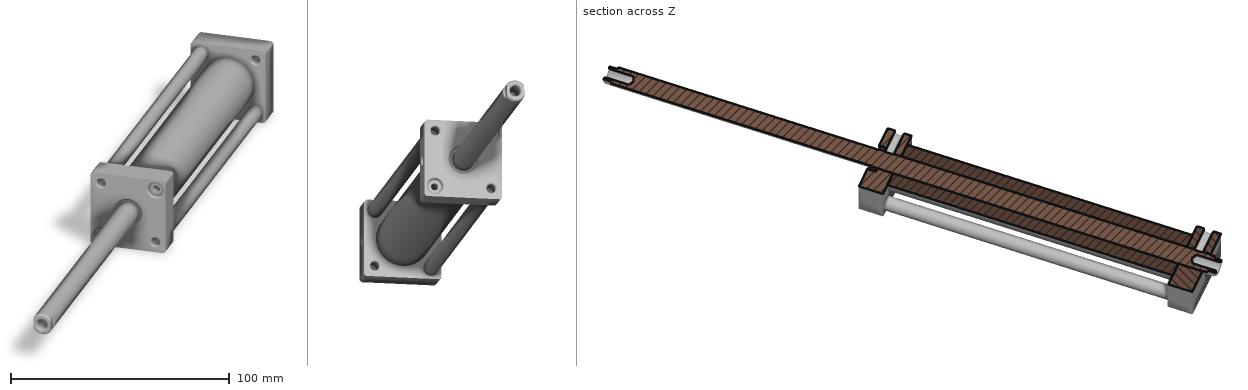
import cadquery as cq

PLATE_SIZE = 36.0
PLATE_THICKNESS = 12.0
BARREL_LENGTH = 140.0
ROD_REACH_FRONT = 131.0
ROD_REACH_REAR = 6.0
FRONT_PLATE_START = 0.0
BARREL_START = FRONT_PLATE_START + PLATE_THICKNESS
REAR_PLATE_START = BARREL_START + BARREL_LENGTH
ROD_START = FRONT_PLATE_START - ROD_REACH_FRONT
ROD_END = REAR_PLATE_START + PLATE_THICKNESS + ROD_REACH_REAR

BARREL_DIAMETER = 25.0
TIE_ROD_DIAMETER = 7.0
ROD_DIAMETER = 10.0

CORNER_OFFSET = 13.0
TIE_ROD_CORNERS = [(-CORNER_OFFSET, CORNER_OFFSET), (CORNER_OFFSET, -CORNER_OFFSET)]
SCREW_CORNERS = [(-CORNER_OFFSET, -CORNER_OFFSET), (CORNER_OFFSET, CORNER_OFFSET)]

PLATE_CORNER_CHAMFER = 1.0
TAP_DIAMETER = 4.13
TAP_MOUTH_DIAMETER = 5.0
TAP_DEPTH = 8.0
DRILL_POINT_HEIGHT = 1.2
COUNTERBORE_DIAMETER = 7.0
COUNTERBORE_MOUTH_DIAMETER = 8.0
COUNTERBORE_MOUTH_DEPTH = (COUNTERBORE_MOUTH_DIAMETER - COUNTERBORE_DIAMETER) / 2
COUNTERBORE_DEPTH = 2.0
SCREW_HOLE_DIAMETER = 3.24
PORT_DEPTH = PLATE_SIZE / 2

WIPER_DIAMETER = 14.0
WIPER_LENGTH = 4.0
WIPER_MOUTH_DIAMETER = 13.84
WIPER_THROAT_DIAMETER = 12.0
WIPER_MOUTH_DEPTH = (WIPER_MOUTH_DIAMETER - WIPER_THROAT_DIAMETER) / 2

ROD_CHAMFER_LENGTH = 1.0
ROD_CHAMFER_DEPTH = 0.6
FLAT_SPACING = 8.0
FLAT_LENGTH = 3.5
FLAT_RUN_OUT = 0.5
ROD_TAP_DIAMETER = 4.92
ROD_TAP_MOUTH_DIAMETER = 6.0
ROD_TAP_DEPTH = 12.0


def cylinder(diameter, start, length, x=0.0, z=0.0):
    """Cylinder along +Y from the given start."""
    axis = cq.Vector(0, 1, 0)
    return cq.Workplane(cq.Solid.makeCylinder(diameter / 2, length, cq.Vector(x, start, z), axis))


def cone(start_diameter, end_diameter, start, length, x=0.0, z=0.0):
    """Truncated cone along +Y from the given start."""
    position = cq.Vector(x, start, z)
    solid = cq.Solid.makeCone(start_diameter / 2, end_diameter / 2, length, position, cq.Vector(0, 1, 0))
    return cq.Workplane(solid)


def tapped_hole(mouth, direction, depth=TAP_DEPTH, diameter=TAP_DIAMETER, mouth_diameter=TAP_MOUTH_DIAMETER):
    """Cutter for a countersunk blind hole that ends in a drill point."""
    radius = diameter / 2
    mouth_radius = mouth_diameter / 2
    mouth_depth = mouth_radius - radius
    profile = (
        cq.Workplane("XY")
        .polyline([
            (0, 0),
            (mouth_radius, 0),
            (radius, mouth_depth),
            (radius, depth),
            (0, depth + DRILL_POINT_HEIGHT),
        ])
        .close()
        .revolve(360, (0, 0), (0, 1))
    )
    plane_normal = cq.Vector(0, 0, 1).cross(cq.Vector(*direction))
    plane = cq.Plane(origin=mouth, xDir=(0, 0, 1), normal=plane_normal)
    return profile.val().moved(cq.Location(plane))


def plate(start):
    """Square end plate with chamfered corners, the rod bore and the side port."""
    body = (
        cq.Workplane("XY")
        .box(PLATE_SIZE, PLATE_THICKNESS, PLATE_SIZE)
        .edges("|Y")
        .chamfer(PLATE_CORNER_CHAMFER)
        .translate((0, start + PLATE_THICKNESS / 2, 0))
    )
    body = body.cut(cylinder(ROD_DIAMETER, start, PLATE_THICKNESS))
    port_mouth = (-PLATE_SIZE / 2, start + PLATE_THICKNESS / 2, 0)
    return body.cut(tapped_hole(port_mouth, (1, 0, 0), PORT_DEPTH))


def make_front_plate():
    body = plate(FRONT_PLATE_START)
    body = body.cut(cylinder(WIPER_DIAMETER, FRONT_PLATE_START, WIPER_LENGTH))
    for x, z in TIE_ROD_CORNERS:
        body = body.cut(tapped_hole((x, FRONT_PLATE_START, z), (0, 1, 0)))
    for x, z in SCREW_CORNERS:
        body = body.cut(cylinder(SCREW_HOLE_DIAMETER, FRONT_PLATE_START, PLATE_THICKNESS, x, z))
        body = body.cut(cylinder(COUNTERBORE_DIAMETER, FRONT_PLATE_START, COUNTERBORE_DEPTH, x, z))
        mouth = cone(
            COUNTERBORE_MOUTH_DIAMETER, COUNTERBORE_DIAMETER, FRONT_PLATE_START, COUNTERBORE_MOUTH_DEPTH, x, z
        )
        body = body.cut(mouth)
    return body


def make_rear_plate():
    body = plate(REAR_PLATE_START)
    for x, z in SCREW_CORNERS:
        body = body.cut(tapped_hole((x, REAR_PLATE_START, z), (0, 1, 0)))
    return body


def make_barrel():
    bore = cylinder(ROD_DIAMETER, BARREL_START, BARREL_LENGTH)
    return cylinder(BARREL_DIAMETER, BARREL_START, BARREL_LENGTH).cut(bore)


def make_tie_rod(x, z):
    return cylinder(TIE_ROD_DIAMETER, BARREL_START, BARREL_LENGTH, x, z)


def make_wiper():
    """Ring around the rod with a conical recess in its outer face."""
    ring = cylinder(WIPER_DIAMETER, FRONT_PLATE_START, WIPER_LENGTH)
    mouth = cone(WIPER_MOUTH_DIAMETER, WIPER_THROAT_DIAMETER, FRONT_PLATE_START, WIPER_MOUTH_DEPTH)
    return ring.cut(mouth).cut(cylinder(ROD_DIAMETER, FRONT_PLATE_START, WIPER_LENGTH))


def flat_cutter(end, inward, side):
    """Cutter for one wrench flat: open at the rod end, with a sloping run-out at its inner end."""
    flat_x = side * FLAT_SPACING / 2
    outer_x = side * ROD_DIAMETER / 2
    flat_end = end + inward * FLAT_LENGTH
    return (
        cq.Workplane("XY")
        .polyline([
            (flat_x, end),
            (flat_x, flat_end),
            (outer_x, flat_end + inward * FLAT_RUN_OUT),
            (outer_x, end),
        ])
        .close()
        .extrude(ROD_DIAMETER / 2, both=True)
    )


def make_rod():
    """Rod through the whole cylinder, with two flats and a tapped hole at each end."""
    radius = ROD_DIAMETER / 2
    end_radius = radius - ROD_CHAMFER_DEPTH
    profile = cq.Workplane("XY").polyline([
        (0, ROD_START),
        (end_radius, ROD_START),
        (radius, ROD_START + ROD_CHAMFER_LENGTH),
        (radius, ROD_END - ROD_CHAMFER_LENGTH),
        (end_radius, ROD_END),
        (0, ROD_END),
    ])
    body = profile.close().revolve(360, (0, 0), (0, 1))
    for end, inward in ((ROD_START, 1), (ROD_END, -1)):
        mouth = (0, end, 0)
        direction = (0, inward, 0)
        body = body.cut(
            tapped_hole(mouth, direction, ROD_TAP_DEPTH, ROD_TAP_DIAMETER, ROD_TAP_MOUTH_DIAMETER)
        )
        for side in (1, -1):
            body = body.cut(flat_cutter(end, inward, side))
    return body


front_plate = make_front_plate()
rear_plate = make_rear_plate()
barrel = make_barrel()
tie_rods = [make_tie_rod(x, z) for x, z in TIE_ROD_CORNERS]
wiper = make_wiper()
rod = make_rod()

result = cq.Compound.makeCompound([
    front_plate.val(),
    rear_plate.val(),
    barrel.val(),
    *[tie_rod.val() for tie_rod in tie_rods],
    wiper.val(),
    rod.val(),
])